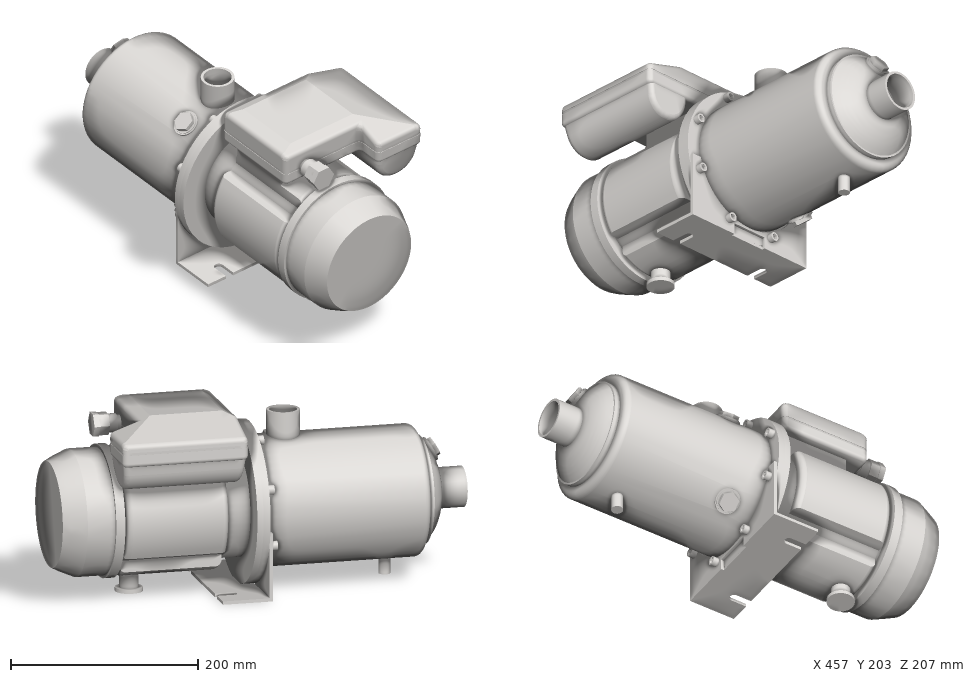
import cadquery as cq
import math


casing_radius = 143.0 / 2
casing_front_x = 52.5
casing_front_fillet = 7.0
collar_radius = 118.0 / 2
collar_front_x = 46.0
dome_edge_radius = 114.0 / 2
dome_front_x = 29.0
dome_mid_x = 35.0
dome_mid_radius = 42.0

suction_outer_radius = 44.5 / 2
suction_bore_radius = 39.0 / 2

discharge_x = 198.5
discharge_top_z = 99.0
discharge_outer_radius = 36.0 / 2
discharge_bore_radius = 30.0 / 2

drain_x = 86.5
drain_diameter = 13.0

flange_radius = 176.5 / 2
flange_front_x = 235.5
flange_joint_x = 243.0
flange_rear_x = 250.0

bolt_count = 8
bolt_circle_radius = 81.0
bolt_head_diameter = 10.0
bolt_head_height = 7.0
bolt_socket_corners = 7.0
bolt_socket_depth = 3.5

base_z = -90.0
plate_thickness = 3.5
bracket_half_width = 84.0
bracket_top_z = -15.0
bracket_rear_x = 287.0
bracket_arch_radius = 74.0
bracket_gap_half_width = 22.5
bracket_gap_top_z = -77.0
foot_slot_y = 55.0
foot_slot_width = 10.0
foot_slot_length = 23.5
bracket_front_x = flange_front_x - plate_thickness

plug_collar_diameter = 28.5
plug_hex_flats = 19.5
plug_seat_depth = 2.0
plug_collar_height = 1.5
plug_step_diameter = 25.0
plug_step_height = 2.5
plug_head_height = 7.0
plug_elevation = 53.0
dome_plug_x = 36.0
dome_plug_z = 44.0
dome_plug_tilt = 60.0

motor_core_radius = 59.0
stator_radius = 70.5
stator_front_x = 276.0
stator_rear_x = 389.0
stator_end_fillet = 6.5
notch_y = 37.0
notch_z = 39.8
notch_chamfer = 7.0

ring_front_x = 391.7
ring_rear_x = 402.0
ring_radius = 72.0
cover_radius = 69.0
cover_taper_x = 432.5
cover_end_x = 457.0
cover_end_radius = 57.5
cover_bulge = 0.5

saddle_half_width = notch_y
saddle_rear_x = 352.0
saddle_bottom_z = 36.5
saddle_top_z = 72.5
saddle_corner_fillet = 3.0

foot_x = 369.0
foot_stem_diameter = 10.0
foot_stem_top_z = -66.5
foot_post_diameter = 21.0
foot_post_top_z = -72.5
foot_pad_diameter = 30.0
foot_pad_height = 4.0

box_front_x = 266.5
box_rear_x = 374.0
box_arm_rear_x = 405.0
box_near_y = -48.0
box_far_y = 114.7
box_arm_y = 54.0
box_bottom_z = 76.5
box_top_z = 117.0
box_corner_fillet = 5.5
box_bottom_fillet = 4.0

panel_front_x = 280.0
panel_rear_x = 360.0
panel_near_y = -30.0
panel_far_y = 55.5
front_fall = 0.37
rear_fall = 0.35
near_fall = 0.17
far_fall = 0.28
slope_reach = 91.5
slope_span = 457.0

seam_bottom_z = 90.0
seam_width = 2.7
seam_depth = 0.5

trough_inner_y = 56.5
trough_bottom_z = 46.0
trough_outer_bottom_y = 105.0
trough_radius = 25.5
trough_end_draft = 5.0
trough_end_fillet = 5.5

gland_y = -20.0
gland_z = 91.0
gland_neck_diameter = 17.0
gland_body_diameter = 20.5
gland_nut_corners = 26.0
gland_cap_corners = 28.0
gland_body_x = 378.0
gland_nut_x = 387.5
gland_cap_x = 398.5
gland_end_x = 405.0


def x_cylinder(radius, start, end, y=0.0, z=0.0):
    """Cylinder along X between two X positions."""
    return cq.Workplane("YZ", origin=(start, y, z)).circle(radius).extrude(end - start)


def x_hexagon(corners, start, end, y, z):
    """Hexagonal prism along X with two of its corners at the ends of a line along Y."""
    return cq.Workplane("YZ", origin=(start, y, z)).polygon(6, corners).extrude(end - start)


def z_cylinder(diameter, x, bottom, top):
    """Vertical cylinder on the plane of the shaft."""
    return cq.Workplane("XY", origin=(x, 0, bottom)).circle(diameter / 2).extrude(top - bottom)


def block(x_range, y_range, z_range):
    """Rectangular block given by its limits on each axis."""
    size = [high - low for low, high in (x_range, y_range, z_range)]
    corner = (x_range[0], y_range[0], z_range[0])
    return cq.Workplane("XY").box(*size, centered=False).translate(corner)


def plug_plane(x, y, z, normal):
    """Seat of a plug: the X direction of the plane runs across the flats of its hexagon."""
    nx, ny, nz = normal
    across = (0, 1, 0) if nx else (1, 0, 0)
    seat = [c - plug_seat_depth * n for c, n in zip((x, y, z), normal)]
    return cq.Plane(origin=tuple(seat), xDir=across, normal=(nx, ny, nz))


def side_plug_plane(side):
    """Seat on the -Y side of the barrel; side is 1 above the shaft and -1 below it."""
    angle = math.radians(plug_elevation)
    normal = (0, -math.cos(angle), side * math.sin(angle))
    return plug_plane(discharge_x, casing_radius * normal[1], casing_radius * normal[2], normal)


def dome_plug_plane():
    """Seat on the dome, above the suction pipe."""
    angle = math.radians(dome_plug_tilt)
    return plug_plane(dome_plug_x, 0, dome_plug_z, (-math.sin(angle), 0, math.cos(angle)))


plug_planes = [dome_plug_plane(), side_plug_plane(1), side_plug_plane(-1)]


def plug_collar(plane):
    height = plug_seat_depth + plug_collar_height
    return cq.Workplane(plane).circle(plug_collar_diameter / 2).extrude(height)


def make_plug(plane):
    corners = plug_hex_flats / math.cos(math.pi / 6)
    head = cq.Workplane(plane).transformed(rotate=(0, 0, 30)).polygon(6, corners)
    head = head.extrude(plug_seat_depth + plug_head_height)
    step = cq.Workplane(plane).circle(plug_step_diameter / 2).extrude(plug_seat_depth + plug_step_height)
    return plug_collar(plane).union(step).union(head)


def bolt_positions():
    """(Y, Z) of every flange bolt."""
    step = 2 * math.pi / bolt_count
    angles = [(i + 0.5) * step for i in range(bolt_count)]
    return [(bolt_circle_radius * math.cos(a), bolt_circle_radius * math.sin(a)) for a in angles]


def make_bolt(y, z):
    """Socket-head bolt; the bolts low down clamp the bracket and so stand further forward."""
    seat_x = bracket_front_x if z < bracket_top_z else flange_front_x
    head_x = seat_x - bolt_head_height
    bolt = x_cylinder(bolt_head_diameter / 2, head_x, flange_joint_x, y, z)
    socket = x_hexagon(bolt_socket_corners, head_x, head_x + bolt_socket_depth, y, z)
    return bolt.cut(socket.rotate((0, y, z), (1, y, z), 90))


def make_casing():
    profile = (
        cq.Workplane("XY")
        .moveTo(dome_front_x, 0)
        .lineTo(dome_front_x, suction_outer_radius)
        .threePointArc((dome_mid_x, dome_mid_radius), (collar_front_x, dome_edge_radius))
        .lineTo(collar_front_x, collar_radius)
        .lineTo(casing_front_x, collar_radius)
        .lineTo(casing_front_x, casing_radius - casing_front_fillet)
        .radiusArc((casing_front_x + casing_front_fillet, casing_radius), casing_front_fillet)
        .lineTo(flange_front_x, casing_radius)
        .lineTo(flange_front_x, flange_radius)
        .lineTo(flange_joint_x, flange_radius)
        .lineTo(flange_joint_x, 0)
        .close()
    )
    body = profile.revolve(360, (0, 0, 0), (1, 0, 0))

    suction_bore = x_cylinder(suction_bore_radius, 0, dome_front_x)
    suction = x_cylinder(suction_outer_radius, 0, dome_front_x).cut(suction_bore)

    barrel = x_cylinder(casing_radius, casing_front_x, flange_front_x)
    discharge = z_cylinder(2 * discharge_outer_radius, discharge_x, 0, discharge_top_z)
    discharge_bore = z_cylinder(2 * discharge_bore_radius, discharge_x, 0, discharge_top_z)
    discharge = discharge.cut(discharge_bore.cut(barrel))

    drain = z_cylinder(drain_diameter, drain_x, base_z, -casing_radius / 2)

    body = body.union(suction).union(discharge).union(drain)
    for y, z in bolt_positions():
        body = body.cut(x_cylinder(bolt_head_diameter / 2, flange_front_x, flange_joint_x, y, z))
        body = body.union(make_bolt(y, z))
    for plane in plug_planes:
        body = body.cut(plug_collar(plane))
    return body


def foot_slot(y):
    """Bolt slot with a round end, open at the rear edge of the foot."""
    end_x = bracket_rear_x - foot_slot_length + foot_slot_width / 2
    slot = cq.Workplane("XY", origin=(end_x, y, base_z)).slot2D(4 * foot_slot_width, foot_slot_width)
    slot = slot.extrude(plate_thickness)
    return slot.translate((1.5 * foot_slot_width, 0, 0))


def make_bracket():
    width = (-bracket_half_width, bracket_half_width)
    upright = block((bracket_front_x, flange_front_x), width, (base_z, bracket_top_z))
    foot = block((bracket_front_x, bracket_rear_x), width, (base_z, base_z + plate_thickness))
    arch = x_cylinder(bracket_arch_radius, bracket_front_x, flange_front_x)
    gap_width = (-bracket_gap_half_width, bracket_gap_half_width)
    gap = block((bracket_front_x, flange_front_x), gap_width, (base_z, bracket_gap_top_z))
    flange_relief = x_cylinder(flange_radius, flange_front_x, flange_rear_x)
    bracket = upright.cut(arch).cut(gap).union(foot.cut(gap).cut(flange_relief))
    for y in (-foot_slot_y, foot_slot_y):
        bracket = bracket.cut(foot_slot(y))
    for y, z in bolt_positions():
        bracket = bracket.cut(x_cylinder(bolt_head_diameter / 2, bracket_front_x, flange_front_x, y, z))
    return bracket


def make_stator():
    length = stator_rear_x - stator_front_x
    stator = x_cylinder(stator_radius, stator_front_x, stator_rear_x).edges().fillet(stator_end_fillet)
    outline = [
        (notch_y, notch_z + notch_chamfer),
        (notch_y, stator_radius),
        (stator_radius, stator_radius),
        (stator_radius, notch_z),
        (notch_y + notch_chamfer, notch_z),
    ]
    for y_sign in (1, -1):
        for z_sign in (1, -1):
            points = [(y_sign * y, z_sign * z) for y, z in outline]
            notch = cq.Workplane("YZ", origin=(stator_front_x, 0, 0)).polyline(points).close()
            stator = stator.cut(notch.extrude(length))
    return stator


def make_fan_cover():
    mid_x = (cover_taper_x + cover_end_x) / 2 + cover_bulge
    mid_radius = (cover_radius + cover_end_radius) / 2 + cover_bulge
    profile = (
        cq.Workplane("XY")
        .moveTo(ring_front_x, 0)
        .lineTo(ring_front_x, ring_radius)
        .lineTo(ring_rear_x, ring_radius)
        .lineTo(ring_rear_x, cover_radius)
        .lineTo(cover_taper_x, cover_radius)
        .threePointArc((mid_x, mid_radius), (cover_end_x, cover_end_radius))
        .lineTo(cover_end_x, 0)
        .close()
    )
    return profile.revolve(360, (0, 0, 0), (1, 0, 0))


def saddle(bottom, top):
    """Block under the control box, rounded at its two front corners."""
    width = (-saddle_half_width, saddle_half_width)
    body = block((stator_front_x, saddle_rear_x), width, (bottom, top))
    return body.edges("|Z and <X").fillet(saddle_corner_fillet)


def make_rear_foot():
    pad_top_z = base_z + foot_pad_height
    stem = z_cylinder(foot_stem_diameter, foot_x, foot_post_top_z, foot_stem_top_z)
    post = z_cylinder(foot_post_diameter, foot_x, pad_top_z, foot_post_top_z)
    pad = z_cylinder(foot_pad_diameter, foot_x, base_z, pad_top_z)
    return pad.union(post).union(stem)


def make_motor():
    flange = x_cylinder(flange_radius, flange_joint_x, flange_rear_x)
    core = x_cylinder(motor_core_radius, flange_rear_x, ring_front_x)
    motor = flange.union(core).union(make_stator()).union(make_fan_cover())
    return motor.union(saddle(saddle_bottom_z, saddle_top_z)).union(make_rear_foot())


def box_plan(bottom):
    """L-shaped plan of the control box."""
    return cq.Workplane("XY", origin=(0, 0, bottom)).polyline([
        (box_front_x, box_near_y),
        (box_rear_x, box_near_y),
        (box_rear_x, box_arm_y),
        (box_arm_rear_x, box_arm_y),
        (box_arm_rear_x, box_far_y),
        (box_front_x, box_far_y),
    ]).close()


def falling_slope(plane, start, away, fall):
    """Wedge above a slope that starts at the lid top and falls in the given direction."""
    end = start + away * slope_reach
    top = box_top_z + slope_reach
    points = [(start, box_top_z), (end, box_top_z - fall * slope_reach), (end, top), (start, top)]
    return cq.Workplane(plane).polyline(points).close().extrude(slope_span, both=True)


def make_box_shell():
    shell = box_plan(box_bottom_z).extrude(box_top_z - box_bottom_z)
    shell = shell.cut(falling_slope("XZ", panel_front_x, -1, front_fall))
    shell = shell.cut(falling_slope("XZ", panel_rear_x, 1, rear_fall))
    shell = shell.cut(falling_slope("YZ", panel_near_y, -1, near_fall))
    shell = shell.cut(falling_slope("YZ", panel_far_y, 1, far_fall))

    walls = shell.faces("|X or |Y")
    lid_low_corner = (0, -box_far_y, seam_bottom_z)
    lid_high_corner = (cover_end_x, 2 * box_far_y, 2 * box_top_z)
    rim = walls.edges("not |Z").edges(cq.selectors.BoxSelector(lid_low_corner, lid_high_corner))
    shell = shell.newObject(rim.vals()).fillet(box_corner_fillet)
    shell = shell.edges("|Z").fillet(box_corner_fillet)
    return shell.faces("<Z").edges().fillet(box_bottom_fillet)


def make_seam():
    """Shallow groove around the box, where the lid meets the tray."""
    outer = box_plan(seam_bottom_z).offset2D(box_corner_fillet).extrude(seam_width)
    inner = box_plan(seam_bottom_z).extrude(seam_width).edges("|Z").fillet(box_corner_fillet)
    inner = inner.faces(">Z").wires().toPending().offset2D(-seam_depth).extrude(-seam_width, combine=False)
    return outer.cut(inner)


def make_trough():
    """Rounded trough hanging below the arm of the box."""
    cross_section = cq.Workplane("YZ", origin=(box_front_x, 0, 0)).polyline([
        (trough_inner_y, seam_bottom_z),
        (trough_inner_y, trough_bottom_z),
        (trough_outer_bottom_y, trough_bottom_z),
        (box_far_y, seam_bottom_z),
    ]).close()
    trough = cross_section.extrude(box_arm_rear_x - box_front_x)
    trough = trough.faces("<Z").edges("|X").fillet(trough_radius)

    side_section = cq.Workplane("XZ").polyline([
        (box_front_x, seam_bottom_z),
        (box_front_x + trough_end_draft, trough_bottom_z),
        (box_arm_rear_x - trough_end_draft, trough_bottom_z),
        (box_arm_rear_x, seam_bottom_z),
    ]).close()
    trough = trough.intersect(side_section.extrude(-2 * box_far_y))
    return trough.faces("<X or >X").edges("not #Z").fillet(trough_end_fillet)


def make_gland():
    """Cable gland on the rear wall of the box."""
    neck = x_cylinder(gland_neck_diameter / 2, box_rear_x, gland_body_x, gland_y, gland_z)
    body = x_cylinder(gland_body_diameter / 2, gland_body_x, gland_nut_x, gland_y, gland_z)
    nut = x_hexagon(gland_nut_corners, gland_nut_x, gland_cap_x, gland_y, gland_z)
    cap = x_hexagon(gland_cap_corners, gland_cap_x, gland_end_x, gland_y, gland_z)
    return neck.union(body).union(nut).union(cap)


def make_control_box():
    shell = make_box_shell().cut(make_seam())
    box_foot = saddle(saddle_top_z, box_bottom_z)
    return shell.union(make_trough()).union(box_foot).union(make_gland())


casing = make_casing()
bracket = make_bracket()
motor = make_motor()
control_box = make_control_box()
plugs = [make_plug(plane) for plane in plug_planes]

result = cq.Compound.makeCompound([
    casing.val(),
    bracket.val(),
    motor.val(),
    control_box.val(),
    *[plug.val() for plug in plugs],
])